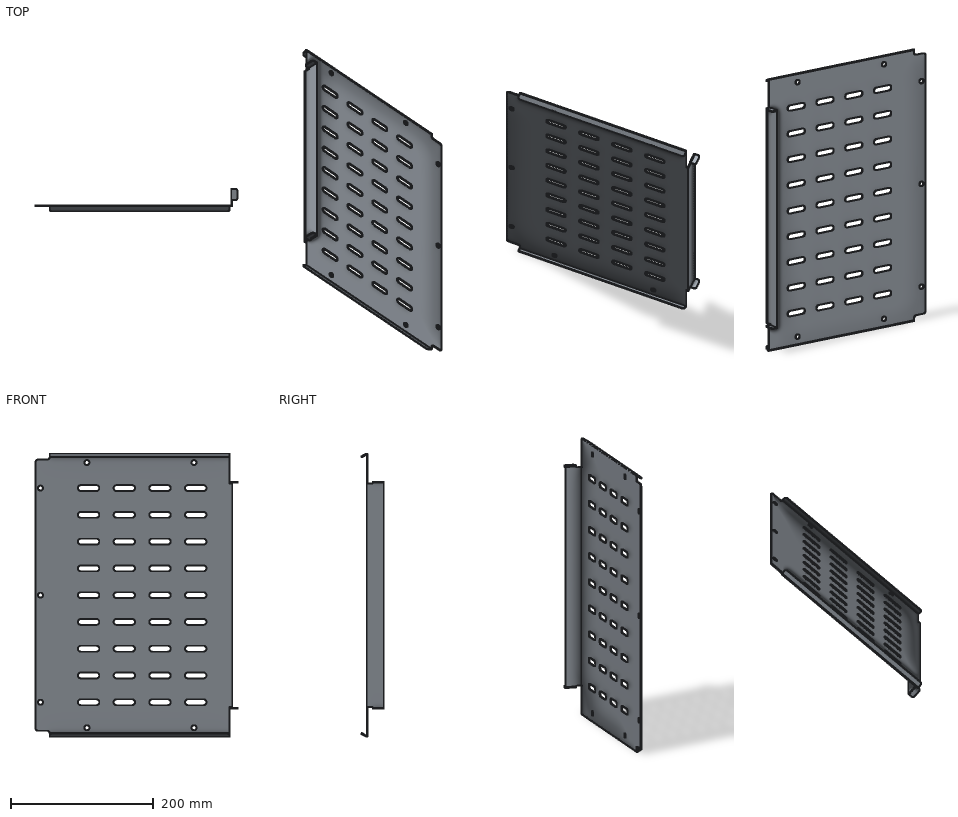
import cadquery as cq
import math

width = 283.5
depth = 31.8
height = 397.2
thickness = 1.5

plate_right = 272.5
left_edge_height = 380.5
plate_corner_radius = 4.0
relief_radius = 3.0

lip_left = 20.0
lip_reach = 7.5
lip_bend_angle = 120
lip_corner_radius = 3.0
lip_bend_z = height / 2 - thickness

wall_outer_x = 276.0
wall_inner_x = wall_outer_x - thickness
wall_height = 313.8
wall_tip_y = depth - lip_reach

ear_length = 16.0
ear_corner_radius = 3.0
ear_outer_z = 159.3

hole_diameter = 6.8
hole_spacing = 150.0
left_hole_x = 7.0
edge_hole_x = 72.3
edge_hole_z = 186.0

slot_columns = 4
slot_rows = 9
slot_length = 29.8
slot_width = 8.0
slot_pitch_x = 50.0
slot_pitch_z = 2 * hole_spacing / (slot_rows - 1)
first_slot_x = 74.5


def box(x0, x1, y0, y1, z0, z1):
    """Box between the given limits."""
    block = cq.Workplane("XY").box(x1 - x0, y1 - y0, z1 - z0, centered=False)
    return block.translate((x0, y0, z0))


def mirrored_pair(solid):
    """The solid joined with its mirror image below the XY plane."""
    return solid.union(solid.mirror("XY"))


def make_plate():
    """Flat sheet, narrower in Z left of the lips and extended at the right up to the wall."""
    left_half = left_edge_height / 2
    wall_half = wall_height / 2
    corner = plate_corner_radius
    outline = (
        cq.Workplane("XZ")
        .moveTo(0, 0)
        .lineTo(0, left_half - corner)
        .radiusArc((corner, left_half), corner)
        .lineTo(lip_left - relief_radius, left_half)
        .radiusArc((lip_left, left_half + relief_radius), -relief_radius)
        .lineTo(lip_left, lip_bend_z)
        .lineTo(plate_right, lip_bend_z)
        .lineTo(plate_right, wall_half)
        .lineTo(wall_outer_x, wall_half)
        .lineTo(wall_outer_x, 0)
        .close()
    )
    return mirrored_pair(outline.extrude(-thickness))


def make_lip():
    """Top lip: a bend of more than a right angle, then a flat strip with rounded free corners."""
    length = plate_right - lip_left
    middle = math.radians(lip_bend_angle / 2)
    end = math.radians(lip_bend_angle)
    bend_end = (thickness * math.cos(end), thickness * math.sin(end))
    bend = (
        cq.Workplane("YZ", origin=(lip_left, 0, lip_bend_z))
        .lineTo(thickness, 0)
        .threePointArc((thickness * math.cos(middle), thickness * math.sin(middle)), bend_end)
        .close()
        .extrude(length)
    )
    strip_length = (lip_reach + bend_end[0]) / math.sin(end)
    strip = box(lip_left, plate_right, -strip_length, 0, 0, thickness)
    strip = strip.edges("|Z and <Y").fillet(lip_corner_radius)
    strip = strip.rotate((0, 0, 0), (1, 0, 0), lip_bend_angle - 90)
    return bend.union(strip.translate((0, 0, lip_bend_z)))


def make_wall():
    """Backward wall along the right edge of the plate."""
    half = wall_height / 2
    return box(wall_inner_x, wall_outer_x, 0, wall_tip_y, -half, half)


def make_ear():
    """Top ear: a short rise of the wall, folded outward, with rounded free corners."""
    start_y = wall_tip_y - ear_length
    rise = box(wall_inner_x, wall_outer_x, start_y, wall_tip_y, 0, ear_outer_z)
    flat = box(wall_inner_x, width, start_y, wall_tip_y, ear_outer_z - thickness, ear_outer_z)
    return rise.union(flat.edges("|Z and >X").fillet(ear_corner_radius))


def make_hole_cutters():
    """Three holes along the left edge and two near each lip."""
    centers = [(left_hole_x, row * hole_spacing) for row in (-1, 0, 1)]
    for z in (-edge_hole_z, edge_hole_z):
        centers += [(edge_hole_x, z), (edge_hole_x + hole_spacing, z)]
    circles = cq.Workplane("XZ").pushPoints(centers).circle(hole_diameter / 2)
    return circles.extrude(-thickness)


def make_slot_cutters():
    """Regular grid of horizontal slots, centred in Z."""
    grid_center_x = first_slot_x + slot_pitch_x * (slot_columns - 1) / 2
    return (
        cq.Workplane("XZ")
        .center(grid_center_x, 0)
        .rarray(slot_pitch_x, slot_pitch_z, slot_columns, slot_rows)
        .slot2D(slot_length, slot_width)
        .extrude(-thickness)
    )


result = (
    make_plate()
    .cut(make_hole_cutters())
    .cut(make_slot_cutters())
    .union(mirrored_pair(make_lip()))
    .union(make_wall())
    .union(mirrored_pair(make_ear()))
    .clean()
)